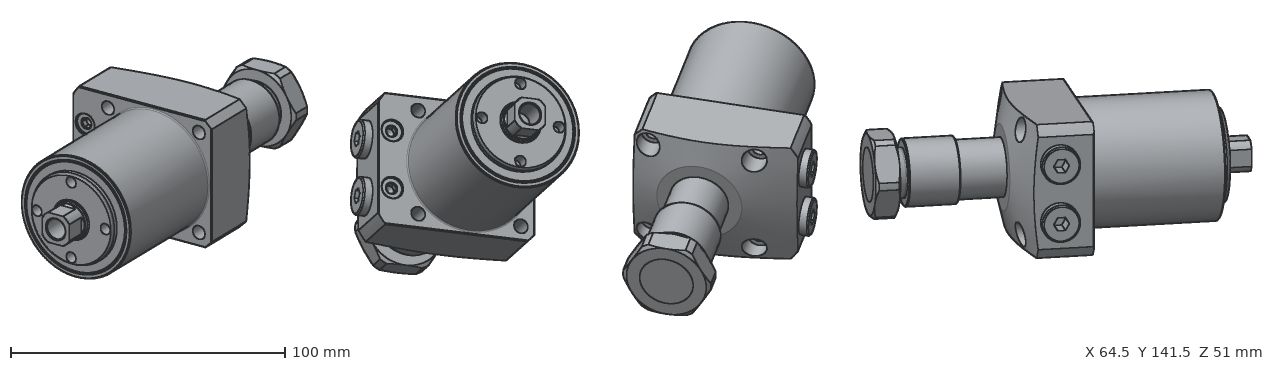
import cadquery as cq
import math


BLOCK_LEFT = 35.5
BLOCK_RIGHT = 25.5
BLOCK_HEIGHT = 51.0
BLOCK_DEPTH = 27.7
CORNER_TURN_RADIUS = 41.5
RIGHT_CORNER = 3.0
BLOCK_EDGE_CHAMFER = 0.4
CONE_FLAT_RADIUS = 16.0
CONE_SLOPE = 15.0
MOUNT_HOLE_RADIUS = 2.7
MOUNT_HOLE_OFFSET = 20.0
COUNTERBORE_RADIUS = 4.5
COUNTERBORE_FLOOR = 17.0

CYLINDER_RADIUS = 24.0
CYLINDER_LENGTH = 51.1
CYLINDER_CHAMFER = 0.4
CYLINDER_FILLET = 0.4
BORE_CHAMFER = 0.4

CAP_RADIUS = 22.0
CAP_CHAMFER = 0.4
CAP_SEAT_DEPTH = 7.1
CAP_BOSS_RADIUS = 18.1
CAP_BOSS_HEIGHT = 3.0
BEVEL_MIDDLE_RADIUS = 17.8
BEVEL_INNER_RADIUS = 17.4
BEVEL_OUTER_DEPTH = 1.3
BEVEL_MIDDLE_DEPTH = 0.7
LIP_RADIUS = 7.9
LIP_SHOULDER_RADIUS = 7.4
LIP_SHOULDER_HEIGHT = 0.3
LIP_END_RADIUS = 7.0
LIP_HEIGHT = 1.0
SPANNER_HOLE_RADIUS = 2.1
SPANNER_HOLE_CIRCLE = 15.0
SPANNER_HOLE_DEPTH = 5.7
SPANNER_HOLE_COUNT = 4

ROD_RADIUS = 11.0
ROD_EXPOSED = 17.4
COLLAR_RADIUS = 12.6
COLLAR_LENGTH = 19.2
COLLAR_CHAMFER = 0.4
STEM_RADIUS = 6.8
STEM_LENGTH = 10.2
STEM_FLAT_OFFSET = 6.0
STEM_FLAT_LENGTH = 7.9
STEM_FLAT_COUNT = 4
STEM_HOLE_RADIUS = 4.0
STEM_HOLE_CHAMFER = 0.4
STEM_HOLE_DEPTH = 11.3
NECK_RADIUS = 9.3
NECK_LENGTH = 3.7
NECK_FLARE_START = 0.7
NECK_FLARE_LENGTH = 2.5
STUD_RADIUS = 10.0

NUT_FLATS = 30.0
NUT_HEIGHT = 9.2
NUT_CORNER_RADIUS = 16.5
NUT_CHAMFER_ANGLE = 30.0
NUT_BORE_CHAMFER = 0.5

PORT_OFFSET_Z = 11.0
HEX_TO_CORNERS = 2 / math.sqrt(3)

PLUG_Y = 12.9
PLUG_RADIUS = 7.1
PLUG_HEIGHT = 3.5
PLUG_CHAMFER = 0.5
PLUG_SHANK_RADIUS = 4.8
PLUG_SHANK_LENGTH = 7.1
PLUG_SOCKET_FLATS = 5.0
PLUG_SOCKET_DEPTH = 7.1

SCREW_X = -30.0
SCREW_RADIUS = 4.0
SCREW_LENGTH = 6.4
SCREW_RECESS = 0.8
SCREW_HOLE_CHAMFER = 0.3
SCREW_SOCKET_FLATS = 3.7
SCREW_SOCKET_RIM_RADIUS = 2.3
SCREW_SOCKET_DEPTH = 2.8

CYLINDER_END = -CYLINDER_LENGTH
CAP_SEAT = CYLINDER_END + CAP_SEAT_DEPTH
CAP_FACE = CYLINDER_END - CAP_BOSS_HEIGHT
STEM_END = CAP_FACE - STEM_LENGTH
COLLAR_START = BLOCK_DEPTH + ROD_EXPOSED
COLLAR_END = COLLAR_START + COLLAR_LENGTH
NUT_START = COLLAR_END + NECK_LENGTH
NUT_END = NUT_START + NUT_HEIGHT


def turned(points):
    """Revolve a closed (radius, Y) profile about the piston axis."""
    return cq.Workplane("XY").polyline(points).close().revolve(360, (0, 0, 0), (0, 1, 0))


def rod_along_y(radius, start, end, x=0.0, z=0.0):
    """Plain cylinder parallel to Y from start to end."""
    return cq.Workplane(cq.Solid.makeCylinder(
        radius, end - start, cq.Vector(x, start, z), cq.Vector(0, 1, 0)))


def flange_block():
    """Block turned about the piston axis: rounded left corners and a conical free face."""
    width = BLOCK_LEFT + BLOCK_RIGHT
    block = cq.Workplane("XY").box(width, BLOCK_DEPTH, BLOCK_HEIGHT)
    block = block.translate(((BLOCK_RIGHT - BLOCK_LEFT) / 2, BLOCK_DEPTH / 2, 0))
    block = block.faces("<Y").edges().chamfer(BLOCK_EDGE_CHAMFER)

    top = BLOCK_HEIGHT / 2
    for side in (-1, 1):
        corner = cq.Workplane("XZ").polyline([
            (BLOCK_RIGHT, side * top),
            (BLOCK_RIGHT - RIGHT_CORNER, side * top),
            (BLOCK_RIGHT, side * (top - RIGHT_CORNER)),
        ]).close().extrude(-BLOCK_DEPTH)
        block = block.cut(corner)

    cone_drop = (CORNER_TURN_RADIUS - CONE_FLAT_RADIUS) * math.tan(math.radians(CONE_SLOPE))
    envelope = turned([
        (0, 0),
        (CORNER_TURN_RADIUS, 0),
        (CORNER_TURN_RADIUS, BLOCK_DEPTH - cone_drop),
        (CONE_FLAT_RADIUS, BLOCK_DEPTH),
        (0, BLOCK_DEPTH),
    ])
    return block.intersect(envelope)


def cylinder_tube():
    """Solid cylinder with a filleted root and a chamfered end."""
    root_radius = CYLINDER_RADIUS + CYLINDER_FILLET
    return (
        cq.Workplane("XY")
        .moveTo(0, 0)
        .lineTo(root_radius, 0)
        .radiusArc((CYLINDER_RADIUS, -CYLINDER_FILLET), -CYLINDER_FILLET)
        .lineTo(CYLINDER_RADIUS, CYLINDER_END + CYLINDER_CHAMFER)
        .lineTo(CYLINDER_RADIUS - CYLINDER_CHAMFER, CYLINDER_END)
        .lineTo(0, CYLINDER_END)
        .close()
        .revolve(360, (0, 0, 0), (0, 1, 0))
    )


def make_housing():
    housing = flange_block().union(cylinder_tube())

    housing = housing.cut(turned([
        (0, BLOCK_DEPTH),
        (ROD_RADIUS, BLOCK_DEPTH),
        (ROD_RADIUS, CAP_SEAT),
        (CAP_RADIUS, CAP_SEAT),
        (CAP_RADIUS, CYLINDER_END + BORE_CHAMFER),
        (CAP_RADIUS + BORE_CHAMFER, CYLINDER_END),
        (0, CYLINDER_END),
    ]))

    for x in (-MOUNT_HOLE_OFFSET, MOUNT_HOLE_OFFSET):
        for z in (-MOUNT_HOLE_OFFSET, MOUNT_HOLE_OFFSET):
            housing = housing.cut(rod_along_y(MOUNT_HOLE_RADIUS, 0, BLOCK_DEPTH, x, z))
            counterbore = rod_along_y(COUNTERBORE_RADIUS, COUNTERBORE_FLOOR, BLOCK_DEPTH, x, z)
            housing = housing.cut(counterbore)

    for z in (-PORT_OFFSET_Z, PORT_OFFSET_Z):
        port = cq.Workplane("YZ", origin=(-BLOCK_LEFT, PLUG_Y, z)).circle(PLUG_SHANK_RADIUS)
        housing = housing.cut(port.extrude(PLUG_SHANK_LENGTH))
        screw_hole = turned([
            (0, 0),
            (SCREW_RADIUS + SCREW_HOLE_CHAMFER, 0),
            (SCREW_RADIUS, SCREW_HOLE_CHAMFER),
            (SCREW_RADIUS, SCREW_RECESS + SCREW_LENGTH),
            (0, SCREW_RECESS + SCREW_LENGTH),
        ])
        housing = housing.cut(screw_hole.translate((SCREW_X, 0, z)))
    return housing


def make_end_cap():
    """Screwed-in cover with a bevelled boss, a lip round the stem and spanner holes."""
    cap = turned([
        (STEM_RADIUS, CAP_SEAT),
        (CAP_RADIUS, CAP_SEAT),
        (CAP_RADIUS, CYLINDER_END + CAP_CHAMFER),
        (CAP_RADIUS - CAP_CHAMFER, CYLINDER_END),
        (CAP_BOSS_RADIUS, CYLINDER_END),
        (CAP_BOSS_RADIUS, CAP_FACE + BEVEL_OUTER_DEPTH),
        (BEVEL_MIDDLE_RADIUS, CAP_FACE + BEVEL_MIDDLE_DEPTH),
        (BEVEL_INNER_RADIUS, CAP_FACE),
        (LIP_RADIUS, CAP_FACE),
        (LIP_SHOULDER_RADIUS, CAP_FACE - LIP_SHOULDER_HEIGHT),
        (LIP_END_RADIUS, CAP_FACE - LIP_HEIGHT),
        (STEM_RADIUS, CAP_FACE - LIP_HEIGHT),
    ])
    spanner_holes = (
        cq.Workplane("XZ", origin=(0, CAP_FACE, 0))
        .polarArray(SPANNER_HOLE_CIRCLE, 0, 360, SPANNER_HOLE_COUNT)
        .circle(SPANNER_HOLE_RADIUS)
        .extrude(-SPANNER_HOLE_DEPTH)
    )
    return cap.cut(spanner_holes)


def make_piston_rod():
    """Rod with a rear stem, a front collar and a flared neck leading to the nut stud."""
    flare_start = COLLAR_END + NECK_FLARE_START
    flare_end = flare_start + NECK_FLARE_LENGTH
    rod = turned([
        (0, STEM_END),
        (STEM_RADIUS, STEM_END),
        (STEM_RADIUS, CAP_SEAT),
        (ROD_RADIUS, CAP_SEAT),
        (ROD_RADIUS, COLLAR_START),
        (COLLAR_RADIUS - COLLAR_CHAMFER, COLLAR_START),
        (COLLAR_RADIUS, COLLAR_START + COLLAR_CHAMFER),
        (COLLAR_RADIUS, COLLAR_END - COLLAR_CHAMFER),
        (COLLAR_RADIUS - COLLAR_CHAMFER, COLLAR_END),
        (NECK_RADIUS, COLLAR_END),
        (NECK_RADIUS, flare_start),
        (STUD_RADIUS, flare_end),
        (STUD_RADIUS, NUT_END),
        (0, NUT_END),
    ])

    flat_end = STEM_END + STEM_FLAT_LENGTH
    flat_depth = STEM_RADIUS - STEM_FLAT_OFFSET
    flat_cutter = (
        cq.Workplane("XY")
        .polyline([
            (STEM_FLAT_OFFSET, STEM_END),
            (STEM_RADIUS, STEM_END),
            (STEM_RADIUS, flat_end + flat_depth),
            (STEM_FLAT_OFFSET, flat_end),
        ])
        .close()
        .extrude(STEM_RADIUS, both=True)
    )
    for index in range(STEM_FLAT_COUNT):
        angle = index * 360 / STEM_FLAT_COUNT
        rod = rod.cut(flat_cutter.rotate((0, 0, 0), (0, 1, 0), angle))

    return rod.cut(turned([
        (0, STEM_END),
        (STEM_HOLE_RADIUS + STEM_HOLE_CHAMFER, STEM_END),
        (STEM_HOLE_RADIUS, STEM_END + STEM_HOLE_CHAMFER),
        (STEM_HOLE_RADIUS, STEM_END + STEM_HOLE_DEPTH),
        (0, STEM_END + STEM_HOLE_DEPTH),
    ]))


def make_nut():
    """Hexagon nut with turned-off corners and a countersunk bore."""
    hexagon = (
        cq.Workplane("XZ", origin=(0, NUT_START, 0))
        .polygon(6, NUT_FLATS * HEX_TO_CORNERS)
        .extrude(-NUT_HEIGHT)
    )
    face_radius = NUT_FLATS / 2
    chamfer_height = (NUT_CORNER_RADIUS - face_radius) * math.tan(math.radians(NUT_CHAMFER_ANGLE))
    return hexagon.intersect(turned([
        (STUD_RADIUS + NUT_BORE_CHAMFER, NUT_START),
        (face_radius, NUT_START),
        (NUT_CORNER_RADIUS, NUT_START + chamfer_height),
        (NUT_CORNER_RADIUS, NUT_END - chamfer_height),
        (face_radius, NUT_END),
        (STUD_RADIUS, NUT_END),
        (STUD_RADIUS, NUT_START + NUT_BORE_CHAMFER),
    ]))


def make_port_plug(z):
    """Hex-socket plug: a round head on the block side and a shank in its port."""
    head = (
        cq.Workplane("YZ", origin=(-BLOCK_LEFT, PLUG_Y, z))
        .circle(PLUG_RADIUS)
        .extrude(-PLUG_HEIGHT)
        .faces("<X")
        .edges()
        .chamfer(PLUG_CHAMFER)
    )
    shank = (
        cq.Workplane("YZ", origin=(-BLOCK_LEFT, PLUG_Y, z))
        .circle(PLUG_SHANK_RADIUS)
        .extrude(PLUG_SHANK_LENGTH)
    )
    socket = (
        cq.Workplane("YZ", origin=(-BLOCK_LEFT - PLUG_HEIGHT, PLUG_Y, z))
        .polygon(6, PLUG_SOCKET_FLATS * HEX_TO_CORNERS)
        .extrude(PLUG_SOCKET_DEPTH)
    )
    return head.union(shank).cut(socket)


def make_throttle_screw(z):
    """Headless screw set below the block face, with a countersunk hex socket and drill point."""
    screw = rod_along_y(SCREW_RADIUS, SCREW_RECESS, SCREW_RECESS + SCREW_LENGTH)
    socket = (
        cq.Workplane("XZ", origin=(0, SCREW_RECESS, 0))
        .polygon(6, SCREW_SOCKET_FLATS * HEX_TO_CORNERS)
        .extrude(-SCREW_SOCKET_DEPTH)
    )
    rim = turned([
        (0, SCREW_RECESS),
        (SCREW_SOCKET_RIM_RADIUS, SCREW_RECESS),
        (0, SCREW_RECESS + SCREW_SOCKET_RIM_RADIUS),
    ])
    socket_floor = SCREW_RECESS + SCREW_SOCKET_DEPTH
    drill_point = turned([
        (0, socket_floor),
        (SCREW_SOCKET_FLATS / 2, socket_floor),
        (0, socket_floor + SCREW_SOCKET_FLATS / 2),
    ])
    return screw.cut(socket).cut(rim).cut(drill_point).translate((SCREW_X, 0, z))


housing = make_housing()
end_cap = make_end_cap()
piston_rod = make_piston_rod()
nut = make_nut()
port_plugs = [make_port_plug(z) for z in (-PORT_OFFSET_Z, PORT_OFFSET_Z)]
throttle_screws = [make_throttle_screw(z) for z in (-PORT_OFFSET_Z, PORT_OFFSET_Z)]

result = cq.Compound.makeCompound([
    housing.val(),
    end_cap.val(),
    piston_rod.val(),
    nut.val(),
    *[plug.val() for plug in port_plugs],
    *[screw.val() for screw in throttle_screws],
])